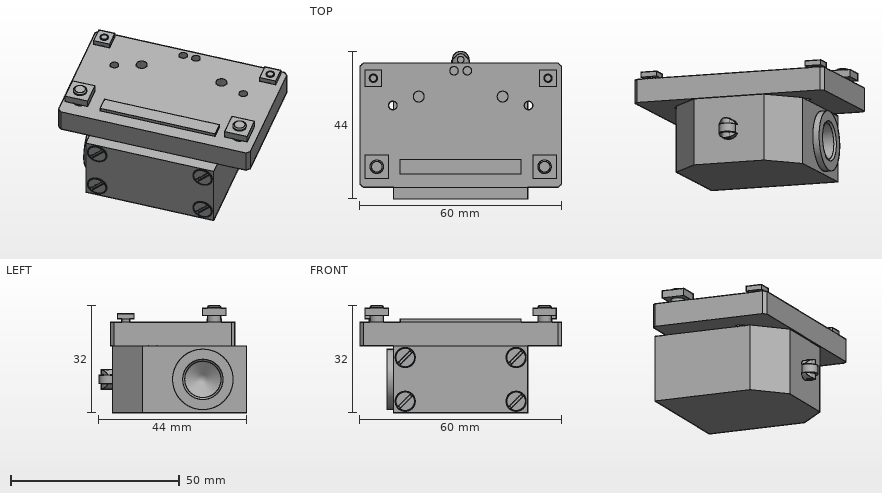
import cadquery as cq
import math

PLATE_LENGTH = 60.0
PLATE_WIDTH = 37.0
PLATE_THICKNESS = 7.0
PLATE_CORNER_CHAMFER = 1.0

BLOCK_LENGTH = 40.0
BLOCK_HEIGHT = 20.0
BLOCK_BACK_INSET = 0.55
BLOCK_REAR_CHAMFER = 9.0
COVER_OVERHANG = 3.5

SCREW_DIAMETER = 6.0
SCREW_FACE_DIAMETER = 5.5
SCREW_SPACING_X = 33.0
SCREW_SPACING_Z = 13.0
SCREW_SLOT_WIDTH = 0.85
SCREW_SLOT_DEPTH = 0.6
SCREW_SLOT_ANGLE = 45

ENTRY_DIAMETER = 18.0
ENTRY_LENGTH = 2.0
ENTRY_MOUTH_DIAMETER = 12.0
ENTRY_BORE_DIAMETER = 10.8
ENTRY_BORE_DEPTH = 15.0
DRILL_POINT_ANGLE = 118.0
ENTRY_FROM_COVER_FACE = 13.0

PLUNGER_DIAMETER = 6.0
PLUNGER_REACH = 3.3
PLUNGER_NOSE_RADIUS = 1.7
PLUNGER_NOSE_SLOPE = math.radians(45)
FORK_SLOT_WIDTH = 2.7
ROLLER_DIAMETER = 5.0
ROLLER_WIDTH = 2.5
ROLLER_REACH = 4.0
AXLE_DIAMETER = 2.0

PLATE_HOLES = [
    (3.25, 12.5, 8.5),
    (2.5, 20.15, 5.9),
    (2.5, 2.0, 16.2),
]

FRONT_ROW_Y = -12.35
STRIP_LENGTH = 36.0
STRIP_WIDTH = 4.2
STRIP_HEIGHT = 1.0

LARGE_NUT_SIDE = 7.0
LARGE_NUT_THICKNESS = 2.2
LARGE_PIN_DIAMETER = 4.0
LARGE_STEM_LENGTH = 2.0
LARGE_TIP_LENGTH = 0.8
LARGE_TIP_CHAMFER = 0.4
LARGE_NUT_X = 24.95

SMALL_NUT_SIDE = 5.0
SMALL_NUT_THICKNESS = 1.5
SMALL_PIN_DIAMETER = 2.45
SMALL_STEM_LENGTH = 1.0
SMALL_TIP_LENGTH = 0.0
SMALL_TIP_CHAMFER = 0.25
SMALL_NUT_X = 26.0
SMALL_NUT_Y = 14.0

BLOCK_BACK_Y = PLATE_WIDTH / 2 - BLOCK_BACK_INSET
COVER_FACE_Y = -PLATE_WIDTH / 2 - COVER_OVERHANG
BLOCK_MID_Z = -BLOCK_HEIGHT / 2


def cylinder(diameter, length, base, direction):
    return cq.Workplane(cq.Solid.makeCylinder(
        diameter / 2, length, cq.Vector(*base), cq.Vector(*direction)))


def cone(base_diameter, end_diameter, length, base):
    """Cone running from its base towards +Y."""
    return cq.Workplane(cq.Solid.makeCone(
        base_diameter / 2, end_diameter / 2, length, cq.Vector(*base), cq.Vector(0, 1, 0)))


def make_plate():
    plate = (
        cq.Workplane("XY")
        .rect(PLATE_LENGTH, PLATE_WIDTH)
        .extrude(PLATE_THICKNESS)
        .edges("|Z")
        .chamfer(PLATE_CORNER_CHAMFER)
    )
    for diameter, x, y in PLATE_HOLES:
        for side in (-1, 1):
            hole = cylinder(diameter, PLATE_THICKNESS, (side * x, y, 0), (0, 0, 1))
            plate = plate.cut(hole)
    strip = (
        cq.Workplane("XY", origin=(0, FRONT_ROW_Y, PLATE_THICKNESS))
        .rect(STRIP_LENGTH, STRIP_WIDTH)
        .extrude(STRIP_HEIGHT)
    )
    return plate.union(strip)


def make_block():
    depth = BLOCK_BACK_Y - COVER_FACE_Y
    return (
        cq.Workplane("XY", origin=(0, COVER_FACE_Y + depth / 2, 0))
        .rect(BLOCK_LENGTH, depth)
        .extrude(-BLOCK_HEIGHT)
        .edges("|Z and >Y")
        .chamfer(BLOCK_REAR_CHAMFER)
    )


def make_screw_recess(x, z):
    """Bevelled ring around the screw head plus its diagonal driver slot.

    The slot ends on the 45 degree flank of the countersunk head.
    """
    bevel = (SCREW_DIAMETER - SCREW_FACE_DIAMETER) / 2
    face = (x, COVER_FACE_Y, z)
    ring = cylinder(SCREW_DIAMETER, bevel, face, (0, 1, 0))
    head = cone(SCREW_FACE_DIAMETER, SCREW_DIAMETER, bevel, face)
    slot = (
        cq.Workplane("XZ", origin=face)
        .transformed(rotate=(0, 0, SCREW_SLOT_ANGLE))
        .rect(SCREW_DIAMETER, SCREW_SLOT_WIDTH)
        .extrude(-SCREW_SLOT_DEPTH)
    )
    countersink = cone(SCREW_DIAMETER, SCREW_DIAMETER - 2 * SCREW_SLOT_DEPTH, SCREW_SLOT_DEPTH, face)
    return ring.cut(head).union(slot.intersect(countersink))


def add_cable_entry(body):
    y = COVER_FACE_Y + ENTRY_FROM_COVER_FACE
    mouth_x = -BLOCK_LENGTH / 2 - ENTRY_LENGTH
    boss = cylinder(ENTRY_DIAMETER, ENTRY_LENGTH, (mouth_x, y, BLOCK_MID_Z), (1, 0, 0))

    mouth_radius = ENTRY_MOUTH_DIAMETER / 2
    bore_radius = ENTRY_BORE_DIAMETER / 2
    point_depth = bore_radius / math.tan(math.radians(DRILL_POINT_ANGLE / 2))
    bore = (
        cq.Workplane("XY", origin=(mouth_x, y, BLOCK_MID_Z))
        .lineTo(0, mouth_radius)
        .lineTo(mouth_radius - bore_radius, bore_radius)
        .lineTo(ENTRY_BORE_DEPTH, bore_radius)
        .lineTo(ENTRY_BORE_DEPTH + point_depth, 0)
        .close()
        .revolve(360, (0, 0, 0), (1, 0, 0))
    )
    return body.union(boss).cut(bore)


def make_roller_plunger():
    """Forked plunger with a rounded wedge nose, carrying a roller on an axle."""
    radius = PLUNGER_DIAMETER / 2
    nose_y = BLOCK_BACK_Y + PLUNGER_REACH
    tangent_x = PLUNGER_NOSE_RADIUS * math.sin(PLUNGER_NOSE_SLOPE)
    tangent_y = nose_y - PLUNGER_NOSE_RADIUS * (1 - math.cos(PLUNGER_NOSE_SLOPE))
    shoulder_y = tangent_y - (radius - tangent_x) * math.tan(PLUNGER_NOSE_SLOPE)
    nose = (
        cq.Workplane("XY", origin=(0, 0, BLOCK_MID_Z))
        .moveTo(-radius, BLOCK_BACK_Y)
        .lineTo(-radius, shoulder_y)
        .lineTo(-tangent_x, tangent_y)
        .threePointArc((0, nose_y), (tangent_x, tangent_y))
        .lineTo(radius, shoulder_y)
        .lineTo(radius, BLOCK_BACK_Y)
        .close()
        .extrude(radius, both=True)
    )
    shank = cylinder(PLUNGER_DIAMETER, PLUNGER_REACH, (0, BLOCK_BACK_Y, BLOCK_MID_Z), (0, 1, 0))
    slot = (
        cq.Workplane("XY", origin=(0, BLOCK_BACK_Y + PLUNGER_REACH / 2, BLOCK_MID_Z))
        .box(PLUNGER_DIAMETER, PLUNGER_REACH, FORK_SLOT_WIDTH)
    )

    axle_y = BLOCK_BACK_Y + ROLLER_REACH - ROLLER_DIAMETER / 2
    roller = cylinder(
        ROLLER_DIAMETER, ROLLER_WIDTH, (0, axle_y, BLOCK_MID_Z - ROLLER_WIDTH / 2), (0, 0, 1))
    axle = cylinder(
        AXLE_DIAMETER, PLUNGER_DIAMETER, (0, axle_y, BLOCK_MID_Z - PLUNGER_DIAMETER / 2), (0, 0, 1))
    return shank.intersect(nose).cut(slot).union(roller).union(axle)


def make_clamp(x, y, nut_side, nut_thickness, pin_diameter, stem_length, tip_length, tip_chamfer):
    """Square nut held above the plate by a round pin with a bevelled end."""
    pin_length = stem_length + nut_thickness + tip_length
    pin = (
        cylinder(pin_diameter, pin_length, (x, y, PLATE_THICKNESS), (0, 0, 1))
        .faces(">Z")
        .chamfer(tip_chamfer)
    )
    nut = (
        cq.Workplane("XY", origin=(x, y, PLATE_THICKNESS + stem_length))
        .rect(nut_side, nut_side)
        .circle(pin_diameter / 2)
        .extrude(nut_thickness)
    )
    return pin.union(nut)


def make_large_clamp(x):
    return make_clamp(
        x, FRONT_ROW_Y, LARGE_NUT_SIDE, LARGE_NUT_THICKNESS,
        LARGE_PIN_DIAMETER, LARGE_STEM_LENGTH, LARGE_TIP_LENGTH, LARGE_TIP_CHAMFER)


def make_small_clamp(x):
    return make_clamp(
        x, SMALL_NUT_Y, SMALL_NUT_SIDE, SMALL_NUT_THICKNESS,
        SMALL_PIN_DIAMETER, SMALL_STEM_LENGTH, SMALL_TIP_LENGTH, SMALL_TIP_CHAMFER)


result = make_plate().union(make_block())
for side_x in (-1, 1):
    for side_z in (-1, 1):
        screw_x = side_x * SCREW_SPACING_X / 2
        screw_z = BLOCK_MID_Z + side_z * SCREW_SPACING_Z / 2
        result = result.cut(make_screw_recess(screw_x, screw_z))
result = add_cable_entry(result)
result = result.union(make_roller_plunger())
for side_x in (-1, 1):
    result = result.union(make_large_clamp(side_x * LARGE_NUT_X))
    result = result.union(make_small_clamp(side_x * SMALL_NUT_X))